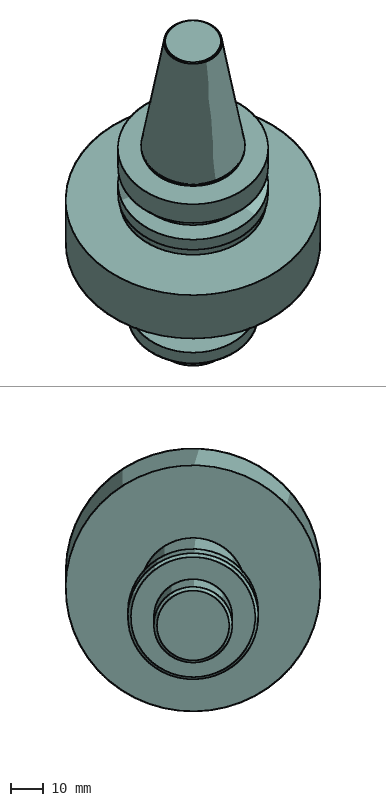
import cadquery as cq


screw_head_diameter = 24.0
washer_diameter = 40.0
neck_diameter = 16.0
pilot_diameter = 32.0
disc_diameter = 78.0
collar_diameter = 45.0
flange_diameter = 46.0
groove_diameter = 38.0
relief_diameter = 31.2
taper_large_diameter = 31.9
taper_top_diameter = 17.0

total_height = 137.4
screw_head_height = 10.0
washer_height = 6.0
neck_height = 8.0
pilot_height = 20.0
disc_height = 20.0
collar_height = 2.9
lower_flange_height = 4.7
groove_height = 3.3
upper_flange_height = 8.7
relief_height = 1.0

edge_chamfer = 1.0
taper_chamfer = 0.35
flange_bevel = 2.2
taper_ratio = 7 / 24

washer_bottom = screw_head_height
washer_top = washer_bottom + washer_height
pilot_bottom = washer_top + neck_height
disc_bottom = pilot_bottom + pilot_height
disc_top = disc_bottom + disc_height
flange_bottom = disc_top + collar_height
lower_bevel_start = flange_bottom + lower_flange_height
groove_bottom = lower_bevel_start + flange_bevel
groove_top = groove_bottom + groove_height
upper_bevel_end = groove_top + flange_bevel
flange_top = upper_bevel_end + upper_flange_height
taper_bottom = flange_top + relief_height


def cylinder(diameter, bottom, top):
    return cq.Workplane("XY").workplane(offset=bottom).circle(diameter / 2).extrude(top - bottom)


def cone(bottom_diameter, top_diameter, bottom, top):
    solid = cq.Solid.makeCone(
        bottom_diameter / 2, top_diameter / 2, top - bottom, pnt=cq.Vector(0, 0, bottom)
    )
    return cq.Workplane(obj=solid)


screw_head = cylinder(screw_head_diameter, 0, washer_bottom).faces("<Z").chamfer(edge_chamfer)
washer = cylinder(washer_diameter, washer_bottom, washer_top).faces("<Z").chamfer(edge_chamfer)
neck = cylinder(neck_diameter, washer_top, pilot_bottom)

pilot = cylinder(pilot_diameter, pilot_bottom, disc_bottom)
disc = cylinder(disc_diameter, disc_bottom, disc_top)
collar = cylinder(collar_diameter, disc_top, flange_bottom)

lower_flange = cylinder(flange_diameter, flange_bottom, lower_bevel_start)
lower_bevel = cone(flange_diameter, groove_diameter, lower_bevel_start, groove_bottom)
groove_core = cylinder(groove_diameter, groove_bottom, groove_top)
upper_bevel = cone(groove_diameter, flange_diameter, groove_top, upper_bevel_end)
upper_flange = cylinder(flange_diameter, upper_bevel_end, flange_top)

taper_end = total_height - taper_chamfer
taper_small_diameter = taper_large_diameter - taper_ratio * (taper_end - taper_bottom)
relief = cylinder(relief_diameter, flange_top, taper_bottom)
taper = cone(taper_large_diameter, taper_small_diameter, taper_bottom, taper_end)
tip = cone(taper_small_diameter, taper_top_diameter, taper_end, total_height)

sections = [
    washer, neck, pilot, disc, collar,
    lower_flange, lower_bevel, groove_core, upper_bevel, upper_flange,
    relief, taper, tip,
]
result = screw_head
for section in sections:
    result = result.union(section)